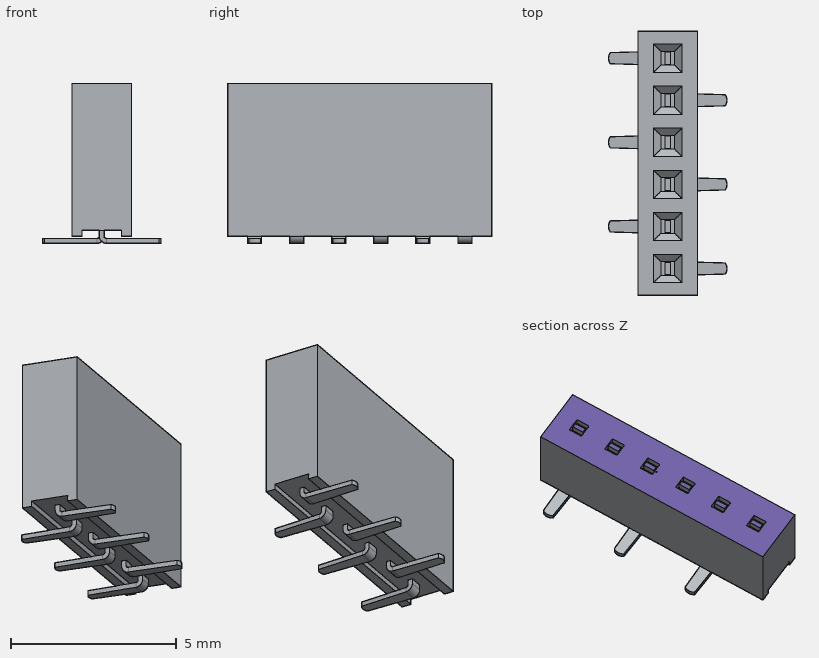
import cadquery as cq


body_length = 7.97
body_width = 1.8
body_bottom = 0.215
body_top = 4.83
channel_width = 1.18
channel_ceiling = 0.39

contact_count = 6
end_margin = 0.81
pitch = (body_length - 2 * end_margin) / (contact_count - 1)
contact_positions = [(i - (contact_count - 1) / 2) * pitch for i in range(contact_count)]

mouth_size = 0.85
hole_size = 0.415
mouth_depth = 0.2
hole_depth = 2.39
hole_floor = body_top - hole_depth
overshoot = 0.08

blade_length = 0.37
blade_height = 0.4

lead_reach = 3.58 / 2
lead_thickness = 0.15
lead_root_width = 0.43
lead_tip_width = 0.34
tip_bulge = 0.055
bend_inner_radius = 0.07
bend_outer_radius = bend_inner_radius + lead_thickness
bend_start = lead_thickness / 2 + bend_inner_radius
stem_top = channel_ceiling + overshoot


def make_body():
    """Rectangular block with a channel along its underside."""
    block = cq.Workplane("XY", origin=(0, 0, body_bottom)).box(
        body_width, body_length, body_top - body_bottom, centered=(True, True, False)
    )
    channel = cq.Workplane("XY", origin=(0, 0, body_bottom - overshoot)).box(
        channel_width,
        body_length + 2 * overshoot,
        channel_ceiling - body_bottom + overshoot,
        centered=(True, True, False),
    )
    return block.cut(channel)


def make_socket(y):
    """Volume removed for one socket, leaving the contact blade on its floor."""
    mouth = (
        cq.Workplane("XY", origin=(0, y, body_top))
        .rect(mouth_size, mouth_size)
        .workplane(offset=-mouth_depth)
        .rect(hole_size, hole_size)
        .loft(ruled=True)
    )
    hole = cq.Workplane("XY", origin=(0, y, hole_floor)).box(
        hole_size, hole_size, hole_depth - mouth_depth, centered=(True, True, False)
    )
    blade = cq.Workplane("XY", origin=(0, y, hole_floor)).box(
        lead_thickness, blade_length, blade_height, centered=(True, True, False)
    )
    return mouth.union(hole).cut(blade)


def make_lead(y, side):
    """Bent lead at y, pointing to -X (side = -1) or +X (side = 1)."""
    near_face = side * lead_thickness / 2
    far_face = -near_face
    bend_x = side * bend_start
    tip_x = side * lead_reach
    bend_z = bend_outer_radius
    profile = (
        cq.Workplane("XZ", origin=(0, y, 0))
        .moveTo(far_face, stem_top)
        .lineTo(far_face, bend_z)
        .radiusArc((bend_x, 0), -side * bend_outer_radius)
        .lineTo(tip_x, 0)
        .lineTo(tip_x, lead_thickness)
        .lineTo(bend_x, lead_thickness)
        .radiusArc((near_face, bend_z), side * bend_inner_radius)
        .lineTo(near_face, stem_top)
        .close()
        .extrude(lead_root_width / 2, both=True)
    )

    shoulder_x = side * (lead_reach - tip_bulge)
    outline = (
        cq.Workplane("XY", origin=(0, y, 0))
        .moveTo(far_face, -lead_root_width / 2)
        .lineTo(bend_x, -lead_root_width / 2)
        .lineTo(shoulder_x, -lead_tip_width / 2)
        .threePointArc((tip_x, 0), (shoulder_x, lead_tip_width / 2))
        .lineTo(bend_x, lead_root_width / 2)
        .lineTo(far_face, lead_root_width / 2)
        .close()
        .extrude(stem_top)
    )
    return profile.intersect(outline)


result = make_body()
for index, y in enumerate(contact_positions):
    result = result.cut(make_socket(y))
    side = 1 if index % 2 == 0 else -1
    result = result.union(make_lead(y, side))